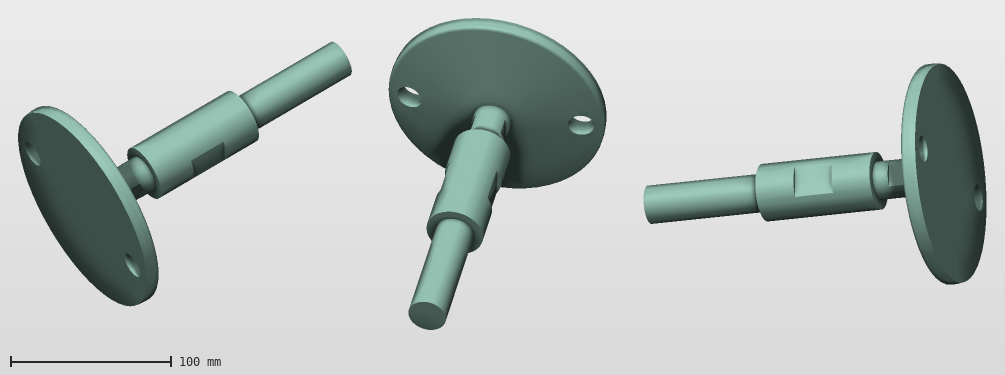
import cadquery as cq
import math

total_length = 198.0

foot_diameter = 138.0
underside_diameter = 136.8
rim_bottom = 4.0
rim_top = 7.3
shoulder_radius = 2.4
cone_angle = math.radians(9.7)

hole_diameter = 16.5
hole_offset = 52.9
hole_reach = 39.6

rod_diameter = 24.0
collar_diameter = 36.0
collar_start = 47.3
collar_length = 75.0
rod_flat_start = 25.0
rod_flat_length = 12.5
rod_across_flats = 18.6
collar_flat_length = 25.0
collar_across_flats = 30.0
collar_flat_start = collar_start + (collar_length - collar_flat_length) / 2

shoulder_center_x = foot_diameter / 2 - shoulder_radius
cone_base_radius = shoulder_center_x + shoulder_radius * math.sin(cone_angle)
cone_base = rim_top + shoulder_radius * math.cos(cone_angle)
foot_height = cone_base + (cone_base_radius - rod_diameter / 2) * math.tan(cone_angle)


def cylinder(diameter, start, length):
    """Cylinder along +Y that begins at Y = start."""
    direction = cq.Vector(0, 1, 0)
    return cq.Workplane(cq.Solid.makeCylinder(diameter / 2, length, cq.Vector(0, start, 0), direction))


def cut_flats(body, diameter, across_flats, start, length):
    """Cut two opposite flats that face -X and +X."""
    depth = (diameter - across_flats) / 2
    for side in (-1, 1):
        cutter = cq.Workplane().box(depth, length, diameter).translate(
            (side * (across_flats + depth) / 2, start + length / 2, 0)
        )
        body = body.cut(cutter)
    return body


def make_foot():
    middle_angle = (math.pi / 2 - cone_angle) / 2
    shoulder_middle = (
        shoulder_center_x + shoulder_radius * math.cos(middle_angle),
        rim_top + shoulder_radius * math.sin(middle_angle),
    )
    foot = (
        cq.Workplane("XY")
        .lineTo(underside_diameter / 2, 0)
        .lineTo(foot_diameter / 2, rim_bottom)
        .lineTo(foot_diameter / 2, rim_top)
        .threePointArc(shoulder_middle, (cone_base_radius, cone_base))
        .lineTo(rod_diameter / 2, foot_height)
        .lineTo(0, foot_height)
        .close()
        .revolve(360, (0, 0, 0), (0, 1, 0))
    )
    for side in (-1, 1):
        axis = cq.Vector(side * math.sin(cone_angle), math.cos(cone_angle), 0)
        start = cq.Vector(side * hole_offset, 0, 0) - axis * hole_reach
        foot = foot.cut(cq.Workplane(cq.Solid.makeCylinder(hole_diameter / 2, 2 * hole_reach, start, axis)))
    return foot


def make_spindle():
    rod = cylinder(rod_diameter, foot_height, total_length - foot_height)
    rod = cut_flats(rod, rod_diameter, rod_across_flats, rod_flat_start, rod_flat_length)
    collar = cylinder(collar_diameter, collar_start, collar_length)
    spindle = rod.union(collar)
    return cut_flats(spindle, collar_diameter, collar_across_flats, collar_flat_start, collar_flat_length)


foot = make_foot()
spindle = make_spindle()

result = cq.Compound.makeCompound([foot.val(), spindle.val()])